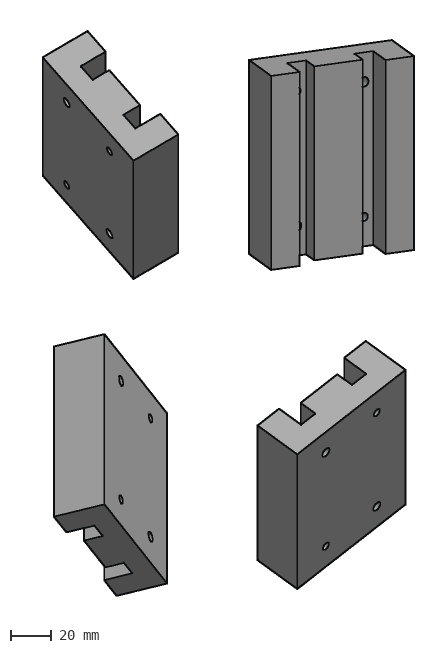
import cadquery as cq

width = 76.2
depth = 27.0
height = 100.0

side_wall = 15.2
slot_width = 10.0
base_thickness = 12.0
rib_drop = 5.0

hole_x = width / 2 - side_wall - slot_width / 2
hole_z = 34.8
large_hole_diameter = 5.0
small_hole_diameter = 4.2

wall_x = width / 2 - side_wall
rib_x = wall_x - slot_width
rib_y = depth - rib_drop


def make_body():
    """Extrude the slotted cross-section, front face on y = 0, along Z."""
    right_half = [
        (width / 2, 0),
        (width / 2, depth),
        (wall_x, depth),
        (wall_x, base_thickness),
        (rib_x, base_thickness),
        (rib_x, rib_y),
    ]
    left_half = [(-x, y) for x, y in reversed(right_half)]
    profile = cq.Workplane("XY").polyline(right_half + left_half).close()
    return profile.extrude(height / 2, both=True)


def make_holes(diameter, centres):
    """Cylinders along Y through the whole depth, at (x, z) centres."""
    return cq.Workplane("XZ").pushPoints(centres).circle(diameter / 2).extrude(-depth)


large_holes = make_holes(large_hole_diameter, [(-hole_x, hole_z), (hole_x, -hole_z)])
small_holes = make_holes(small_hole_diameter, [(hole_x, hole_z), (-hole_x, -hole_z)])

result = make_body().cut(large_holes).cut(small_holes)